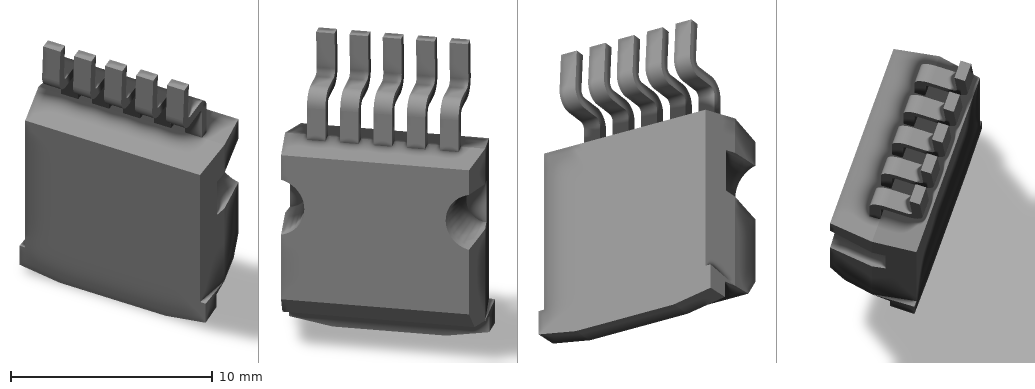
import cadquery as cq
import math

body_width = 10.2
body_depth = 4.55
parting_y = 2.24
parting_bottom = 1.35
parting_top = 10.51
draft_inset = 0.31
heel_z = 2.52
heel_y = 3.75

tab_thickness = 1.3
tab_corner_z = 0.37
tab_end_half_width = 2.9

notch_z = 7.42
notch_floor_y = 1.56
notch_floor_radius = 1.11
notch_mouth_radius = 1.5

lead_count = 5
lead_pitch = 1.7
lead_width = 0.94
lead_thickness = 0.55
lead_embed = 0.77
lead_tilt = math.radians(4)
bend_radius = 0.62
bend_start_z = 12.13
part_height = 15.43

draft_slope = draft_inset / (body_depth - parting_y)
half_width = body_width / 2


def tapered_half(end_y):
    """Half of the body, narrowing on all four sides from the parting plane to end_y."""
    middle_z = (parting_bottom + parting_top) / 2
    height = parting_top - parting_bottom
    return (
        cq.Workplane("XZ", origin=(0, parting_y, middle_z))
        .rect(body_width, height)
        .workplane(offset=parting_y - end_y)
        .rect(body_width - 2 * draft_inset, height - 2 * draft_inset)
        .loft(ruled=True, combine=True)
    )


def heel_bevel():
    """Wedge that bevels the lower back edge of the body."""
    underside_z = parting_bottom + draft_slope * (heel_y - parting_y)
    bevel_slope = (heel_z - underside_z) / (body_depth - heel_y)
    low_y = heel_y - underside_z / bevel_slope
    return (
        cq.Workplane("YZ")
        .polyline([(low_y, 0), (body_depth, 0), (body_depth, heel_z)])
        .close()
        .extrude(half_width, both=True)
    )


def tab():
    """Full-width tab with a sloped top, and its lower corners cut at an angle."""
    underside_z = parting_bottom - draft_slope * (parting_y - tab_thickness)
    block = (
        cq.Workplane("YZ")
        .polyline([
            (0, 0),
            (tab_thickness, 0),
            (tab_thickness, underside_z),
            (parting_y, parting_bottom),
            (0, parting_bottom + draft_inset),
        ])
        .close()
        .extrude(half_width, both=True)
    )
    outline = (
        cq.Workplane("XZ")
        .polyline([
            (-tab_end_half_width, 0),
            (tab_end_half_width, 0),
            (half_width, tab_corner_z),
            (half_width, parting_top),
            (-half_width, parting_top),
            (-half_width, tab_corner_z),
        ])
        .close()
        .extrude(-body_depth)
    )
    return block.intersect(outline)


def notch(x):
    """Cone widening from the notch floor to the back face."""
    return cq.Workplane(cq.Solid.makeCone(
        notch_floor_radius,
        notch_mouth_radius,
        body_depth - notch_floor_y,
        pnt=cq.Vector(x, notch_floor_y, notch_z),
        dir=cq.Vector(0, 1, 0),
    ))


def lead(x):
    """Lead rising from the body, bent forward and then up again."""
    sin_tilt = math.sin(lead_tilt)
    cos_tilt = math.cos(lead_tilt)
    leg_y = parting_y + lead_thickness / 2

    lower_y = leg_y - bend_radius
    upper_y = bend_radius + lead_thickness / 2
    arm_length = (lower_y + 2 * bend_radius * sin_tilt - upper_y) / cos_tilt
    upper_z = bend_start_z + 2 * bend_radius * cos_tilt + arm_length * sin_tilt

    arm_start = (lower_y + bend_radius * sin_tilt, bend_start_z + bend_radius * cos_tilt)
    arm_end = (upper_y - bend_radius * sin_tilt, upper_z - bend_radius * cos_tilt)
    tip_start = (upper_y - bend_radius * cos_tilt, upper_z + bend_radius * sin_tilt)
    tip_rise = part_height - lead_thickness / 2 * sin_tilt - tip_start[1]
    tip_end = (tip_start[0] + tip_rise * math.tan(lead_tilt), tip_start[1] + tip_rise)

    base_z = parting_top - lead_embed
    path = (
        cq.Workplane("YZ", origin=(x, 0, 0))
        .moveTo(leg_y, base_z)
        .lineTo(leg_y, bend_start_z)
        .tangentArcPoint(arm_start, relative=False)
        .lineTo(*arm_end)
        .tangentArcPoint(tip_start, relative=False)
        .lineTo(*tip_end)
    )
    section = cq.Workplane("XY", origin=(x, leg_y, base_z)).rect(lead_width, lead_thickness)
    return section.sweep(path)


result = tapered_half(0).union(tapered_half(body_depth)).cut(heel_bevel()).union(tab())

for side in (-1, 1):
    result = result.cut(notch(side * half_width))

for index in range(lead_count):
    result = result.union(lead((index - (lead_count - 1) / 2) * lead_pitch))